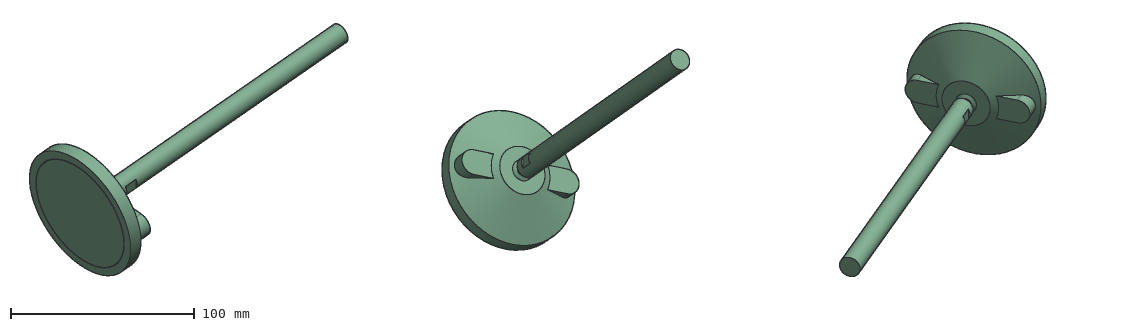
import cadquery as cq

rim_height = 8.0
ear_top = 18.0
plate_height = 20.0
neck_start = 21.4
shank_start = 25.0
flats_start = 30.0
flats_length = 8.0
overall_length = 200.0

plate_diameter = 78.0
plate_top_diameter = 28.0
collar_diameter = 12.0
neck_diameter = 7.8
shank_diameter = 12.0

recess_diameter = 68.0
pad_diameter = 67.5
groove_depth = 2.0

across_flats = 10.0

ear_width = 14.5
ear_span = 72.5


def turned_body():
    """Revolve the plate, tapered collar, neck and shank about the Y axis."""
    profile = [
        (0, 0),
        (plate_diameter / 2, 0),
        (plate_diameter / 2, rim_height),
        (plate_top_diameter / 2, plate_height),
        (collar_diameter / 2, plate_height),
        (neck_diameter / 2, neck_start),
        (neck_diameter / 2, shank_start),
        (shank_diameter / 2, shank_start),
        (shank_diameter / 2, overall_length),
        (0, overall_length),
    ]
    return cq.Workplane("XY").polyline(profile).close().revolve(360, (0, 0, 0), (0, 1, 0))


def ears():
    """One slot-shaped bar forms both ears; its middle lies inside the cone."""
    plane = cq.Workplane("XZ", origin=(0, rim_height, 0))
    return plane.slot2D(ear_span, ear_width).extrude(rim_height - ear_top)


def pad_groove():
    """Thin ring cut into the contact face around the pad."""
    ring = cq.Workplane("XZ").circle(recess_diameter / 2).circle(pad_diameter / 2)
    return ring.extrude(-groove_depth)


def wrench_flat(side):
    """Block that trims the shank to a flat on the +X (1) or -X (-1) side."""
    center_x = side * (across_flats + shank_diameter) / 2
    center_y = flats_start + flats_length / 2
    block = cq.Workplane("XY").box(shank_diameter, flats_length, shank_diameter)
    return block.translate((center_x, center_y, 0))


result = turned_body().union(ears()).cut(pad_groove())
for side in (-1, 1):
    result = result.cut(wrench_flat(side))